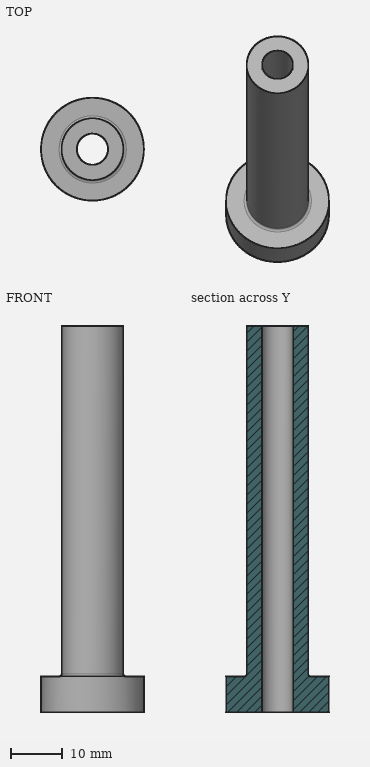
import cadquery as cq

total_length = 75.0
head_diameter = 20.0
head_height = 7.0
shank_diameter = 12.0
bore_diameter = 6.0
root_fillet = 0.5

head_radius = head_diameter / 2
shank_radius = shank_diameter / 2
bore_radius = bore_diameter / 2

half_section = (
    cq.Workplane("XZ")
    .moveTo(bore_radius, 0)
    .lineTo(head_radius, 0)
    .lineTo(head_radius, head_height)
    .lineTo(shank_radius + root_fillet, head_height)
    .radiusArc((shank_radius, head_height + root_fillet), root_fillet)
    .lineTo(shank_radius, total_length)
    .lineTo(bore_radius, total_length)
    .close()
)

result = half_section.revolve(360, (0, 0, 0), (0, 1, 0))